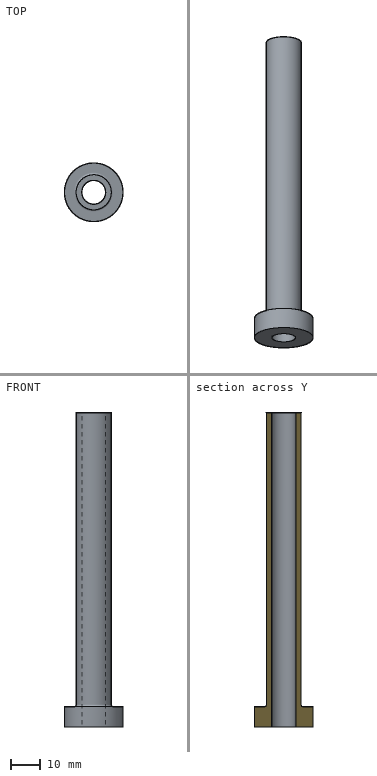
import cadquery as cq

total_length = 107.0
head_diameter = 20.0
head_height = 7.0
tube_diameter = 12.0
bore_diameter = 8.0
neck_fillet = 0.6

tube_radius = tube_diameter / 2
head_radius = head_diameter / 2
bore_radius = bore_diameter / 2

half_section = (
    cq.Workplane("XZ")
    .moveTo(bore_radius, 0)
    .lineTo(head_radius, 0)
    .lineTo(head_radius, head_height)
    .lineTo(tube_radius + neck_fillet, head_height)
    .radiusArc((tube_radius, head_height + neck_fillet), neck_fillet)
    .lineTo(tube_radius, total_length)
    .lineTo(bore_radius, total_length)
    .close()
)

result = half_section.revolve(360, (0, 0, 0), (0, 1, 0))